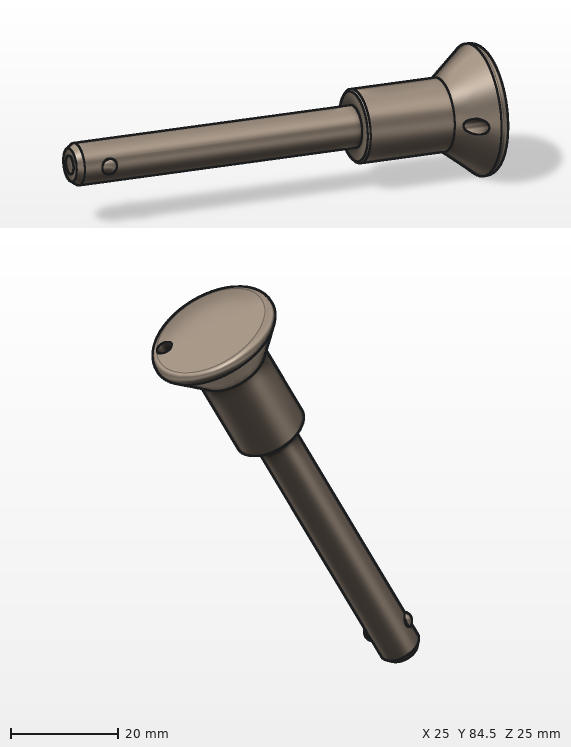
import cadquery as cq
import math

length = 84.5
back_y = length / 2
tip_y = -length / 2

head_radius = 25.0 / 2
head_edge_round = 1.35
head_rim_width = 0.5
head_cone_length = 7.1

neck_radius = 14.0 / 2
neck_end_distance = 26.5
neck_chamfer = 0.4

shank_radius = 8.0 / 2
tip_radius = 6.25 / 2
tip_taper_length = 1.3

spindle_radius = 3.55 / 2
spindle_step = 0.1

ball_radius = 3.6 / 2
ball_seat_radius = 3.0 / 2
ball_span = 9.55
ball_tip_distance = 6.4

lanyard_hole_radius = 3.0 / 2
lanyard_hole_x = 9.55


def revolved_pin():
    """Head, neck, shank and spindle end, revolved about the Y axis."""
    rim_y = back_y - head_edge_round
    cone_start_y = rim_y - head_rim_width
    cone_end_y = cone_start_y - head_cone_length
    neck_end_y = back_y - neck_end_distance
    shank_end_y = tip_y + spindle_step

    edge_center_radius = head_radius - head_edge_round
    round_offset = head_edge_round * math.sqrt(0.5)

    return (
        cq.Workplane("XY")
        .moveTo(0, back_y)
        .lineTo(edge_center_radius, back_y)
        .threePointArc(
            (edge_center_radius + round_offset, rim_y + round_offset),
            (head_radius, rim_y),
        )
        .lineTo(head_radius, cone_start_y)
        .lineTo(neck_radius, cone_end_y)
        .lineTo(neck_radius, neck_end_y + neck_chamfer)
        .lineTo(neck_radius - neck_chamfer, neck_end_y)
        .lineTo(shank_radius, neck_end_y)
        .lineTo(shank_radius, shank_end_y + tip_taper_length)
        .lineTo(tip_radius, shank_end_y)
        .lineTo(spindle_radius, shank_end_y)
        .lineTo(spindle_radius, tip_y)
        .lineTo(0, tip_y)
        .close()
        .revolve(360, (0, 0, 0), (0, 1, 0))
    )


def locking_balls():
    """Ball caps standing out on both sides of the shank, on one round bar along X."""
    ball_tip_x = ball_span / 2
    ball_center_x = ball_tip_x - ball_radius
    cap_half_angle = math.asin(ball_seat_radius / ball_radius)
    cap_base_x = ball_center_x + ball_radius * math.cos(cap_half_angle)
    cap_middle_x = ball_center_x + ball_radius * math.cos(cap_half_angle / 2)
    cap_middle_y = ball_radius * math.sin(cap_half_angle / 2)

    return (
        cq.Workplane("XY", origin=(0, tip_y + ball_tip_distance, 0))
        .moveTo(-ball_tip_x, 0)
        .threePointArc((-cap_middle_x, cap_middle_y), (-cap_base_x, ball_seat_radius))
        .lineTo(cap_base_x, ball_seat_radius)
        .threePointArc((cap_middle_x, cap_middle_y), (ball_tip_x, 0))
        .close()
        .revolve(360, (0, 0, 0), (1, 0, 0))
    )


def lanyard_hole():
    """Cutter running the whole length of the pin, parallel to Y; it only meets the head."""
    return (
        cq.Workplane("XZ", origin=(lanyard_hole_x, 0, 0))
        .circle(lanyard_hole_radius)
        .extrude(length, both=True)
    )


result = revolved_pin().union(locking_balls()).cut(lanyard_hole())